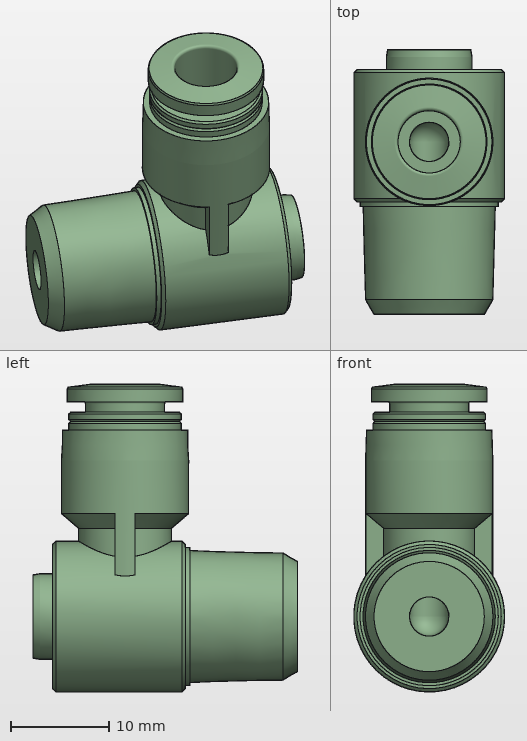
import cadquery as cq


body_diameter = 15.4
body_back_y = 7.4
body_front_y = -6.15
body_chamfer = 0.35
collar_diameter = 14.1
collar_front_y = -6.6
thread_root_diameter = 13.5
thread_tip_diameter = 13.0
thread_tip_y = -16.1
thread_face_diameter = 11.25
thread_face_y = -17.6
boss_diameter = 8.76
boss_face_diameter = 8.5
boss_taper_length = 0.75
boss_back_y = 9.4

neck_diameter = 9.5
neck_top_z = 9.0
housing_diameter = 13.0
housing_bottom_z = 10.5
housing_taper_z = 15.9
housing_top_diameter = 12.8
housing_top_z = 19.0

sleeve_diameter = 11.5
sleeve_top_z = 20.85
sleeve_chamfer = 0.2
groove_z = 19.9
groove_depth = 0.2

stem_diameter = 8.1
stem_flare_diameter = 8.2
stem_flare_length = 0.2
flange_diameter = 11.8
flange_bottom_z = 21.9
flange_edge_z = 23.2
flange_chamfer_diameter = 11.6
flange_chamfer_z = 23.4
button_rim_diameter = 7.0
button_top_z = 23.7

rib_thickness = 2.0

tube_bore_diameter = 6.35
tube_mouth_fillet = 0.3
tube_stop_z = housing_bottom_z
passage_diameter = 4.0


def revolve_about_z(profile):
    """Revolve (diameter, z) points, closed along the axis, about Z."""
    bottom_z = profile[0][1]
    top_z = profile[-1][1]
    outline = [(0, bottom_z)] + [(diameter / 2, z) for diameter, z in profile] + [(0, top_z)]
    return cq.Workplane("XZ").polyline(outline).close().revolve(360, (0, 0), (0, 1))


def revolve_about_y(profile):
    """Revolve (diameter, y) points, closed along the axis, about Y."""
    first_y = profile[0][1]
    last_y = profile[-1][1]
    outline = [(0, first_y)] + [(diameter / 2, y) for diameter, y in profile] + [(0, last_y)]
    return cq.Workplane("XY").polyline(outline).close().revolve(360, (0, 0), (0, 1))


def make_threaded_body():
    chamfered_diameter = body_diameter - 2 * body_chamfer
    return revolve_about_y([
        (thread_face_diameter, thread_face_y),
        (thread_tip_diameter, thread_tip_y),
        (thread_root_diameter, collar_front_y),
        (collar_diameter, collar_front_y),
        (collar_diameter, body_front_y),
        (chamfered_diameter, body_front_y),
        (body_diameter, body_front_y + body_chamfer),
        (body_diameter, body_back_y - body_chamfer),
        (chamfered_diameter, body_back_y),
        (boss_diameter, body_back_y),
        (boss_diameter, boss_back_y - boss_taper_length),
        (boss_face_diameter, boss_back_y),
    ])


def make_tube_socket():
    return revolve_about_z([
        (neck_diameter, 0),
        (neck_diameter, neck_top_z),
        (housing_diameter, housing_bottom_z),
        (housing_diameter, housing_taper_z),
        (housing_top_diameter, housing_top_z),
        (sleeve_diameter, housing_top_z),
        (sleeve_diameter, groove_z - groove_depth),
        (sleeve_diameter - 2 * groove_depth, groove_z),
        (sleeve_diameter, groove_z + groove_depth),
        (sleeve_diameter, sleeve_top_z - sleeve_chamfer),
        (sleeve_diameter - 2 * sleeve_chamfer, sleeve_top_z),
        (stem_diameter, sleeve_top_z),
        (stem_diameter, flange_bottom_z - stem_flare_length),
        (stem_flare_diameter, flange_bottom_z),
        (flange_diameter, flange_bottom_z),
        (flange_diameter, flange_edge_z),
        (flange_chamfer_diameter, flange_chamfer_z),
        (button_rim_diameter, button_top_z),
    ])


def make_ribs():
    """A plate through the neck whose outer edges follow the housing cylinder."""
    plate = cq.Workplane("XY").rect(housing_diameter, rib_thickness).extrude(housing_bottom_z)
    envelope = cq.Workplane("XY").circle(housing_diameter / 2).extrude(housing_bottom_z)
    return plate.intersect(envelope)


def make_tube_passage():
    return revolve_about_z([
        (passage_diameter, 0),
        (passage_diameter, tube_stop_z),
        (tube_bore_diameter, tube_stop_z),
        (tube_bore_diameter, button_top_z),
    ])


def make_thread_passage():
    return revolve_about_y([(passage_diameter, thread_face_y), (passage_diameter, 0)])


def make_passage_corner():
    """Ball that rounds the outside of the bend where both passages meet."""
    return cq.Workplane("XY").sphere(passage_diameter / 2)


solid_fitting = make_threaded_body().union(make_tube_socket()).union(make_ribs())
passages = make_tube_passage().union(make_thread_passage()).union(make_passage_corner())
drilled_fitting = solid_fitting.cut(passages)

tube_mouth_edge = drilled_fitting.faces(">Z").edges(cq.selectors.RadiusNthSelector(0))
result = tube_mouth_edge.fillet(tube_mouth_fillet)